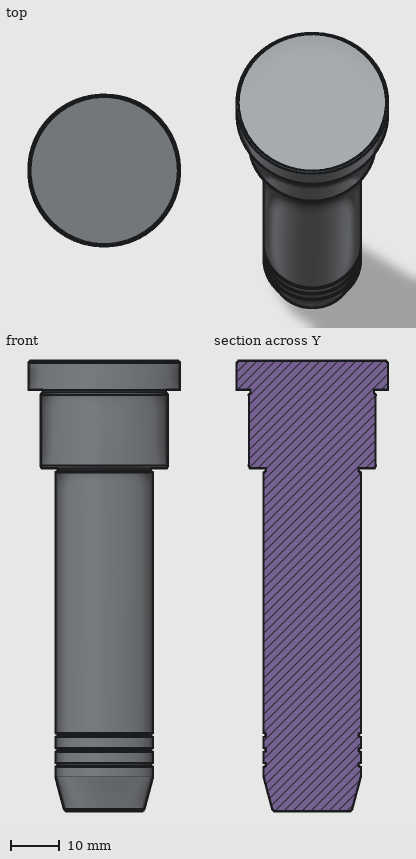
import cadquery as cq
import math

total_length = 92.0
head_diameter = 31.0
head_height = 6.0
head_chamfer = 0.5
collar_diameter = 26.0
collar_bottom_z = 70.0
collar_chamfer_height = 0.55
collar_chamfer_width = 0.3
shaft_diameter = 20.0

head_undercut_depth = 0.4
head_undercut_height = 0.55
head_undercut_taper = 0.5

shaft_undercut_depth = 0.5
shaft_undercut_height = 0.55
shaft_undercut_taper = 0.3

groove_count = 3
groove_depth = 0.5
groove_height = 0.8
groove_taper = 0.2
groove_pitch = 3.0
lowest_groove_z = 9.1

taper_height = 7.1
taper_angle = 15.0
tip_chamfer = 0.5

head_radius = head_diameter / 2
collar_radius = collar_diameter / 2
shaft_radius = shaft_diameter / 2
tip_radius = shaft_radius - (taper_height - tip_chamfer) * math.tan(math.radians(taper_angle))
head_bottom_z = total_length - head_height


def make_pin_body():
    """Revolve the tip, shaft, collar and head in one half outline."""
    collar_neck_radius = collar_radius - head_undercut_depth
    shaft_neck_radius = shaft_radius - shaft_undercut_depth
    head_undercut_floor_z = head_bottom_z - head_undercut_height
    shaft_undercut_floor_z = collar_bottom_z - shaft_undercut_height
    outline = [
        (0, 0),
        (tip_radius - tip_chamfer, 0),
        (tip_radius, tip_chamfer),
        (shaft_radius, taper_height),
        (shaft_radius, shaft_undercut_floor_z - shaft_undercut_taper),
        (shaft_neck_radius, shaft_undercut_floor_z),
        (shaft_neck_radius, collar_bottom_z),
        (collar_radius - collar_chamfer_width, collar_bottom_z),
        (collar_radius, collar_bottom_z + collar_chamfer_height),
        (collar_radius, head_undercut_floor_z - head_undercut_taper),
        (collar_neck_radius, head_undercut_floor_z),
        (collar_neck_radius, head_bottom_z),
        (head_radius, head_bottom_z),
        (head_radius, total_length - head_chamfer),
        (head_radius - head_chamfer, total_length),
        (0, total_length),
    ]
    return cq.Workplane("XZ").polyline(outline).close().revolve(360, (0, 0), (0, 1))


def make_groove_ring(bottom_z):
    """Ring of material that one groove removes from the shaft."""
    floor_radius = shaft_radius - groove_depth
    top_z = bottom_z + groove_height
    outline = [
        (floor_radius, bottom_z + groove_taper),
        (shaft_radius, bottom_z),
        (shaft_radius, top_z),
        (floor_radius, top_z - groove_taper),
    ]
    return cq.Workplane("XZ").polyline(outline).close().revolve(360, (0, 0), (0, 1))


result = make_pin_body()
for index in range(groove_count):
    result = result.cut(make_groove_ring(lowest_groove_z + index * groove_pitch))